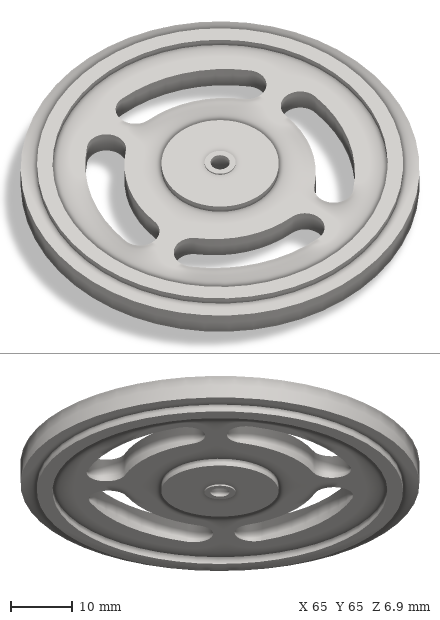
import cadquery as cq
import math

rim_radius = 32.5
rim_thickness = 3.9

ring_outer_radius = 29.85
ring_inner_radius = 27.3
ring_thickness = 6.4
web_thickness = 3.9

hub_radius = 9.55
hub_thickness = 6.4
collar_radius = 2.55
collar_thickness = 6.9
bore_radius = 1.55

slot_count = 4
slot_arc_offset = 3.25
slot_inner_radius = 18.7
slot_outer_radius = 25.1
slot_half_angle = 25.7


def disc(radius, thickness):
    """Cylinder on the Z axis, centred on the XY plane."""
    return cq.Workplane("XY").workplane(offset=-thickness / 2).circle(radius).extrude(thickness)


def polar(radius, angle):
    """Point at a radius and an angle in degrees."""
    return (radius * math.cos(math.radians(angle)), radius * math.sin(math.radians(angle)))


def curved_slot():
    """Cutter for the round-ended slot on the +X side, with its arc centre on the -X side."""
    end_radius = (slot_outer_radius - slot_inner_radius) / 2
    centre_radius = (slot_outer_radius + slot_inner_radius) / 2

    def end_tip(side):
        x, y = polar(centre_radius, side * slot_half_angle)
        dx, dy = polar(end_radius, side * (slot_half_angle + 90))
        return (x + dx, y + dy)

    outer_start = polar(slot_outer_radius, -slot_half_angle)
    outer_end = polar(slot_outer_radius, slot_half_angle)
    inner_start = polar(slot_inner_radius, -slot_half_angle)
    inner_end = polar(slot_inner_radius, slot_half_angle)
    return (
        cq.Workplane("XY", origin=(-slot_arc_offset, 0, -web_thickness / 2))
        .moveTo(*outer_start)
        .threePointArc((slot_outer_radius, 0), outer_end)
        .threePointArc(end_tip(1), inner_end)
        .threePointArc((slot_inner_radius, 0), inner_start)
        .threePointArc(end_tip(-1), outer_start)
        .close()
        .extrude(web_thickness)
    )


ring_opening = disc(ring_inner_radius, collar_thickness)
result = disc(rim_radius, rim_thickness).union(disc(ring_outer_radius, ring_thickness)).cut(ring_opening)

result = result.union(disc(ring_inner_radius, web_thickness))
result = result.union(disc(hub_radius, hub_thickness))
result = result.union(disc(collar_radius, collar_thickness))

slot = curved_slot()
for index in range(slot_count):
    result = result.cut(slot.rotate((0, 0, 0), (0, 0, 1), index * 360 / slot_count))
result = result.cut(disc(bore_radius, collar_thickness))